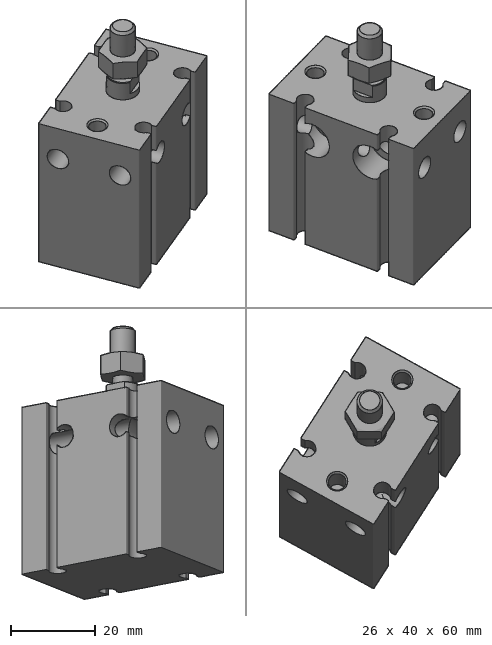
import cadquery as cq
import math

overall_height = 60
block_x = 26.0
block_y = 40.0
block_height = 41.0
edge_fillet = 0.2

groove_diameter = 4.15
groove_mouth = 3.0
groove_axis_depth = 2.65
groove_y = 11.5

mount_diameter = 5.5
mount_offset = 8.0
mount_drop = 9
mount_z = block_height - mount_drop
counterbore_diameter = 9.5
counterbore_depth = 8.0

tapped_diameter = 4.15
tapped_mouth_diameter = 5.0
tapped_mouth_taper = 45
tapped_depth = 7.2
tapped_y = 15

rod_diameter = 8.0
neck_diameter = 4.8
thread_diameter = 6
thread_tip_diameter = 4.8
thread_tip_height = 0.65
shoulder_height = 5.05
shoulder_chamfer = 0.2
neck_height = 2.0
flats_width = 6
flats_height = 3.5

nut_flats = 10.0
nut_height = 5.0
nut_bevel_angle = 15
hexagon_half_angle = 30


def cylinder_z(diameter, start, end):
    """Cylinder on the Z axis from height start to height end."""
    return cq.Workplane("XY").workplane(offset=start).circle(diameter / 2).extrude(end - start)


def groove_places(x):
    """Points at the four grooves, at distance x either side of the middle."""
    return [(side_x * x, side_y * groove_y) for side_x in (-1, 1) for side_y in (-1, 1)]


def make_grooves():
    """Round-bottomed grooves that open through a narrower mouth."""
    axes = groove_places(block_x / 2 - groove_axis_depth)
    rounds = cq.Workplane("XY").pushPoints(axes).circle(groove_diameter / 2).extrude(block_height)
    mouths = cq.Workplane("XY").pushPoints(groove_places(block_x / 2))
    mouths = mouths.rect(2 * groove_axis_depth, groove_mouth).extrude(block_height)
    return rounds.union(mouths)


def make_mount_holes():
    """Two through holes along X, counterbored from -X, and two plain ones along Y."""
    places = [(-mount_offset, mount_z), (mount_offset, mount_z)]
    from_left = cq.Workplane("YZ").workplane(offset=-block_x / 2).pushPoints(places)
    across_x = from_left.circle(mount_diameter / 2).extrude(block_x)
    counterbores = from_left.circle(counterbore_diameter / 2).extrude(counterbore_depth)
    from_front = cq.Workplane("XZ").pushPoints(places)
    across_y = from_front.circle(mount_diameter / 2).extrude(block_y / 2, both=True)
    return across_x.union(counterbores).union(across_y)


def make_tapped_hole(y):
    """Blind hole in the top face with a conical mouth."""
    hole = cylinder_z(tapped_diameter, block_height - tapped_depth, block_height)
    mouth_inset = (tapped_mouth_diameter - tapped_diameter) / 2
    mouth_depth = mouth_inset / math.tan(math.radians(tapped_mouth_taper))
    mouth = cq.Workplane("XY").workplane(offset=block_height).circle(tapped_mouth_diameter / 2)
    mouth = mouth.extrude(-mouth_depth, taper=tapped_mouth_taper)
    return hole.union(mouth).translate((0, y, 0))


def make_housing():
    """Grooved block with rounded vertical edges, mounting holes and tapped holes."""
    block = cq.Workplane("XY").box(block_x, block_y, block_height, centered=(True, True, False))
    block = block.cut(make_grooves())
    for side in ("<X", ">X"):
        block = block.faces(side).edges("|Z").fillet(edge_fillet)
    block = block.cut(make_mount_holes())
    for y in (-tapped_y, tapped_y):
        block = block.cut(make_tapped_hole(y))
    return block


def make_nut(bottom):
    """Hexagon with corners on Y, bevelled at both ends by a cone."""
    corner_diameter = nut_flats / math.cos(math.radians(hexagon_half_angle))
    hexagon = cq.Workplane("XY").polygon(6, corner_diameter).extrude(nut_height)
    hexagon = hexagon.rotate((0, 0, 0), (0, 0, 1), hexagon_half_angle)
    face_radius = nut_flats / 2
    corner_radius = corner_diameter / 2
    bevel = (corner_radius - face_radius) * math.tan(math.radians(nut_bevel_angle))
    envelope = (
        cq.Workplane("XZ")
        .polyline([
            (0, 0),
            (face_radius, 0),
            (corner_radius, bevel),
            (corner_radius, nut_height - bevel),
            (face_radius, nut_height),
            (0, nut_height),
        ])
        .close()
        .revolve()
    )
    return hexagon.intersect(envelope).translate((0, 0, bottom))


def make_rod():
    """Shoulder with two wrench flats, undercut neck, threaded end and nut."""
    shoulder_top = block_height + shoulder_height
    nut_bottom = shoulder_top + neck_height
    shoulder = cylinder_z(rod_diameter, block_height, shoulder_top).faces(">Z").chamfer(shoulder_chamfer)
    for side in (-1, 1):
        flat = cq.Workplane("XY").box(rod_diameter, 2 * rod_diameter, flats_height)
        shift = side * (flats_width + rod_diameter) / 2
        shoulder = shoulder.cut(flat.translate((shift, 0, shoulder_top - flats_height / 2)))
    neck = cylinder_z(neck_diameter, shoulder_top, nut_bottom)
    thread = cylinder_z(thread_diameter, nut_bottom, overall_height)
    tip_inset = (thread_diameter - thread_tip_diameter) / 2
    thread = thread.faces(">Z").chamfer(thread_tip_height, tip_inset)
    return shoulder.union(neck).union(thread).union(make_nut(nut_bottom))


housing = make_housing()
rod = make_rod()
result = cq.Compound.makeCompound([housing.val(), rod.val()])